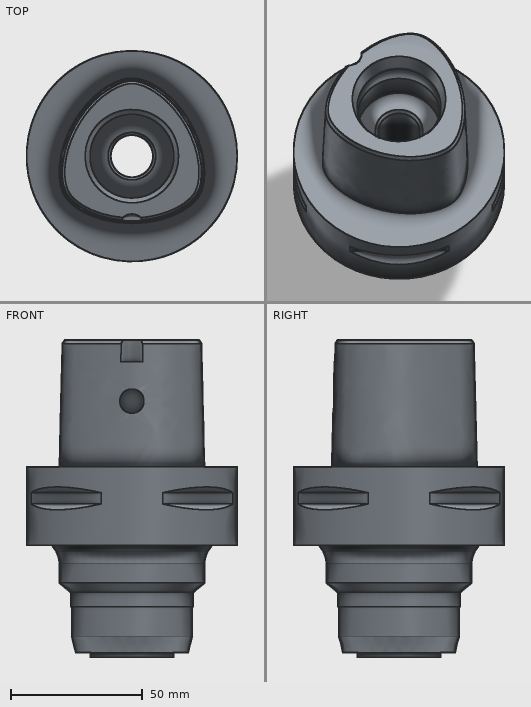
import cadquery as cq
import math

TOTAL_HEIGHT = 120.4
FLANGE_BOTTOM = 42.5
FLANGE_TOP = 72.2
FLANGE_RADIUS = 40.0

LOBE_HEIGHT = 2.0
SHANK_BASE_RADIUS = 27.6
SHANK_TAPER = 1 / 40
SHANK_CHAMFER_HEIGHT = 1.5
SHANK_CHAMFER_WIDTH = 1.0
OUTLINE_POINTS = 72

NECK_TOP_RADIUS = 30.3
NECK_FILLET_TOP_RADIUS = 28.8
NECK_FILLET_TOP = 40.2
NECK_FILLET_BOTTOM = 35.8
NECK_FILLET_SAG = 0.2
NECK_RADIUS = 27.6
NECK_BOTTOM = 28.3
COLLAR_RADIUS = 23.2
COLLAR_TOP = 24.7
COLLAR_BOTTOM = 19.1
NOSE_RADIUS = 22.9
NOSE_CONE_TOP = 8.1
NOSE_TIP_RADIUS = 21.3
SPIGOT_RADIUS = 15.8
SPIGOT_HEIGHT = 1.8

MOUTH_RADIUS = 17.7
BORE_RADIUS = 15.9
MOUTH_CONE_DEPTH = 6.4
GROOVE_RADIUS = 19.4
GROOVE_START_DEPTH = 8.0
GROOVE_TOP_DEPTH = 10.8
GROOVE_BOTTOM_DEPTH = 14.0
GROOVE_CONE_DEPTH = 16.5
BORE_DEPTH = 30.1
THROUGH_RADIUS = 8.0
THROUGH_CHAMFER = 1.1

KEY_RADIUS = 4.8
KEY_DEPTH = 8.3
KEY_AXIS_Y = -26.7
PIN_HOLE_RADIUS = 4.6
PIN_HOLE_HEIGHT = 97.2
PIN_HOLE_DEPTH = 9.0

NOTCH_COUNT = 4
NOTCH_FIRST_ANGLE = 45
NOTCH_FLOOR_DISTANCE = 35.3
NOTCH_FLOOR_HEIGHT = 4.2
NOTCH_MOUTH_HEIGHT = 8.7
NOTCH_CENTER = 60.3


def lobed_wire(mean_radius, height):
    """Constant-width three-lobed outline with one lobe toward +Y."""
    def point(angle):
        lobe_x = LOBE_HEIGHT * (2 * math.cos(2 * angle) - math.cos(4 * angle))
        lobe_y = LOBE_HEIGHT * (2 * math.sin(2 * angle) + math.sin(4 * angle))
        along = mean_radius * math.cos(angle) + lobe_x
        across = mean_radius * math.sin(angle) - lobe_y
        return cq.Vector(across, along, height)

    step = 2 * math.pi / OUTLINE_POINTS
    points = [point(math.pi + i * step) for i in range(OUTLINE_POINTS)]
    return cq.Wire.assembleEdges([cq.Edge.makeSpline(points, periodic=True)])


def make_shank():
    chamfer_base = TOTAL_HEIGHT - SHANK_CHAMFER_HEIGHT
    upper_radius = SHANK_BASE_RADIUS - SHANK_TAPER * (chamfer_base - FLANGE_TOP)
    base = lobed_wire(SHANK_BASE_RADIUS, FLANGE_TOP)
    upper = lobed_wire(upper_radius, chamfer_base)
    top = lobed_wire(upper_radius - SHANK_CHAMFER_WIDTH, TOTAL_HEIGHT)
    taper = cq.Solid.makeLoft([base, upper], True)
    chamfer = cq.Solid.makeLoft([upper, top], True)
    return cq.Workplane(obj=taper).union(cq.Workplane(obj=chamfer))


def make_turned_body():
    fillet_mid = (
        (NECK_FILLET_TOP_RADIUS + NECK_RADIUS) / 2 - NECK_FILLET_SAG,
        (NECK_FILLET_TOP + NECK_FILLET_BOTTOM) / 2,
    )
    return (
        cq.Workplane("XZ")
        .moveTo(0, 0)
        .lineTo(SPIGOT_RADIUS, 0)
        .lineTo(SPIGOT_RADIUS, SPIGOT_HEIGHT)
        .lineTo(NOSE_TIP_RADIUS, SPIGOT_HEIGHT)
        .lineTo(NOSE_RADIUS, NOSE_CONE_TOP)
        .lineTo(NOSE_RADIUS, COLLAR_BOTTOM)
        .lineTo(COLLAR_RADIUS, COLLAR_BOTTOM)
        .lineTo(COLLAR_RADIUS, COLLAR_TOP)
        .lineTo(NECK_RADIUS, NECK_BOTTOM)
        .lineTo(NECK_RADIUS, NECK_FILLET_BOTTOM)
        .threePointArc(fillet_mid, (NECK_FILLET_TOP_RADIUS, NECK_FILLET_TOP))
        .lineTo(NECK_TOP_RADIUS, FLANGE_BOTTOM)
        .lineTo(FLANGE_RADIUS, FLANGE_BOTTOM)
        .lineTo(FLANGE_RADIUS, FLANGE_TOP)
        .lineTo(0, FLANGE_TOP)
        .close()
        .revolve(360, (0, 0), (0, 1))
    )


def make_bore():
    floor = TOTAL_HEIGHT - BORE_DEPTH
    return (
        cq.Workplane("XZ")
        .moveTo(0, 0)
        .lineTo(THROUGH_RADIUS, 0)
        .lineTo(THROUGH_RADIUS, floor - THROUGH_CHAMFER)
        .lineTo(THROUGH_RADIUS + THROUGH_CHAMFER, floor)
        .lineTo(BORE_RADIUS, floor)
        .lineTo(BORE_RADIUS, TOTAL_HEIGHT - GROOVE_CONE_DEPTH)
        .lineTo(GROOVE_RADIUS, TOTAL_HEIGHT - GROOVE_BOTTOM_DEPTH)
        .lineTo(GROOVE_RADIUS, TOTAL_HEIGHT - GROOVE_TOP_DEPTH)
        .lineTo(BORE_RADIUS, TOTAL_HEIGHT - GROOVE_START_DEPTH)
        .lineTo(BORE_RADIUS, TOTAL_HEIGHT - MOUTH_CONE_DEPTH)
        .lineTo(MOUTH_RADIUS, TOTAL_HEIGHT)
        .lineTo(0, TOTAL_HEIGHT)
        .close()
        .revolve(360, (0, 0), (0, 1))
    )


def make_key_notch():
    return (
        cq.Workplane("XY", origin=(0, KEY_AXIS_Y, TOTAL_HEIGHT))
        .circle(KEY_RADIUS)
        .extrude(-KEY_DEPTH)
    )


def make_pin_hole():
    outer_y = LOBE_HEIGHT - SHANK_BASE_RADIUS
    return (
        cq.Workplane("XZ", origin=(0, outer_y, PIN_HOLE_HEIGHT))
        .circle(PIN_HOLE_RADIUS)
        .extrude(-PIN_HOLE_DEPTH)
    )


def make_gripper_notch(angle):
    """Flat-floored notch whose upper and lower walls flare outward."""
    floor_half = NOTCH_FLOOR_HEIGHT / 2
    mouth_half = NOTCH_MOUTH_HEIGHT / 2
    return (
        cq.Workplane("XZ")
        .polyline([
            (NOTCH_FLOOR_DISTANCE, NOTCH_CENTER - floor_half),
            (FLANGE_RADIUS, NOTCH_CENTER - mouth_half),
            (FLANGE_RADIUS, NOTCH_CENTER + mouth_half),
            (NOTCH_FLOOR_DISTANCE, NOTCH_CENTER + floor_half),
        ])
        .close()
        .extrude(FLANGE_RADIUS, both=True)
        .rotate((0, 0, 0), (0, 0, 1), angle)
    )


result = make_turned_body().union(make_shank())
result = result.cut(make_bore()).cut(make_key_notch()).cut(make_pin_hole())
for index in range(NOTCH_COUNT):
    notch_angle = NOTCH_FIRST_ANGLE + index * 360 / NOTCH_COUNT
    result = result.cut(make_gripper_notch(notch_angle))